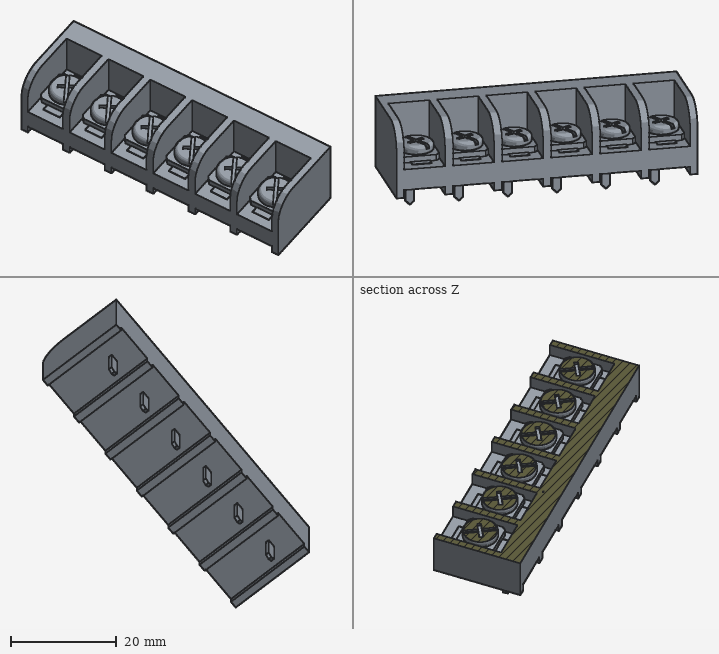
import cadquery as cq

LENGTH = 58.5
DEPTH = 17.8
TOTAL_HEIGHT = 20.5
BLOCK_HEIGHT = 14.3
WALL_RADIUS = 5.0

BAY_COUNT = 6
BAY_WIDTH = 7.95
END_WALL = 1.45
PITCH = (LENGTH - 2 * END_WALL - BAY_WIDTH) / (BAY_COUNT - 1)
BACK_THICKNESS = 4.55
FLOOR_Z = 5.75
FOOT_HEIGHT = 1.6

PIN_WIDTH = 1.65
PIN_THICKNESS = 0.7
PIN_PROTRUSION = 0.05
PIN_Y = DEPTH - 5.15
PIN_TIP_HEIGHT = 0.75
PIN_BOTTOM_Z = BLOCK_HEIGHT - TOTAL_HEIGHT

STRIP_WIDTH = 3.75
STRIP_LENGTH = 10.65
STRIP_FRONT_Y = 2.1
STRIP_THICKNESS = 0.1

CLAMP_WIDTH = 7.65
CLAMP_LENGTH = 7.6
CLAMP_THICKNESS = 1.15
CLAMP_CHAMFER = 0.7
CLAMP_TOP_Z = FLOOR_Z + CLAMP_THICKNESS

SCREW_Y = DEPTH - 10.5
HEAD_DIAMETER = 6.85
HEAD_HEIGHT = 1.75
TOP_ROUNDING = 0.8
BOTTOM_ROUNDING = 0.4
SLOT_WIDTH = 0.7
SLOT_DEPTH = 0.75
CROSS_SLOT_LENGTH = 3.5
SLOT_ANGLE = 120

BAY_CENTRES = [END_WALL + BAY_WIDTH / 2 + i * PITCH for i in range(BAY_COUNT)]


def make_housing():
    """Block with rounded partition walls, open bays above and standoff channels below."""
    housing = cq.Workplane("XY").box(LENGTH, DEPTH, BLOCK_HEIGHT, centered=False)
    housing = housing.edges("<Y and >Z").fillet(WALL_RADIUS)
    bay_depth = DEPTH - BACK_THICKNESS
    bay_height = BLOCK_HEIGHT - FLOOR_Z
    bay = cq.Workplane("XY").box(BAY_WIDTH, bay_depth, bay_height, centered=(True, False, False))
    channel = cq.Workplane("XY").box(BAY_WIDTH, DEPTH, FOOT_HEIGHT, centered=(True, False, False))
    for x in BAY_CENTRES:
        housing = housing.cut(bay.translate((x, 0, FLOOR_Z)))
        housing = housing.cut(channel.translate((x, 0, 0)))
    return housing


def make_pin():
    """Flat pin with a pointed tip, rising through the floor to just below the strip's top."""
    half_width = PIN_WIDTH / 2
    top_z = FLOOR_Z + PIN_PROTRUSION
    shoulder_z = PIN_BOTTOM_Z + PIN_TIP_HEIGHT
    outline = [
        (-half_width, top_z),
        (-half_width, shoulder_z),
        (0, PIN_BOTTOM_Z),
        (half_width, shoulder_z),
        (half_width, top_z),
    ]
    pin = cq.Workplane("XZ").polyline(outline).close().extrude(PIN_THICKNESS / 2, both=True)
    return pin.translate((0, PIN_Y, 0))


def make_strip():
    """Thin conductor strip on the bay floor."""
    strip = cq.Workplane("XY").box(STRIP_WIDTH, STRIP_LENGTH, STRIP_THICKNESS, centered=(True, False, False))
    return strip.translate((0, STRIP_FRONT_Y, FLOOR_Z))


def make_clamp():
    """Rectangular clamp plate with chamfered corners."""
    clamp = cq.Workplane("XY").box(CLAMP_WIDTH, CLAMP_LENGTH, CLAMP_THICKNESS, centered=(True, True, False))
    return clamp.edges("|Z").chamfer(CLAMP_CHAMFER).translate((0, SCREW_Y, FLOOR_Z))


def make_screw_head():
    """Rounded screw head with a full-width slot crossed by a short one."""
    head = cq.Workplane("XY").circle(HEAD_DIAMETER / 2).extrude(HEAD_HEIGHT)
    head = head.faces(">Z").edges().fillet(TOP_ROUNDING)
    head = head.faces("<Z").edges().fillet(BOTTOM_ROUNDING)
    slot_floor = cq.Workplane("XY", origin=(0, 0, HEAD_HEIGHT - SLOT_DEPTH))
    long_slot = slot_floor.rect(HEAD_DIAMETER, SLOT_WIDTH).extrude(SLOT_DEPTH)
    cross_slot = slot_floor.rect(SLOT_WIDTH, CROSS_SLOT_LENGTH).extrude(SLOT_DEPTH)
    slots = long_slot.union(cross_slot).rotate((0, 0, 0), (0, 0, 1), SLOT_ANGLE)
    return head.cut(slots).translate((0, SCREW_Y, CLAMP_TOP_Z))


terminal = make_strip().union(make_pin()).union(make_clamp()).union(make_screw_head())

result = make_housing()
for x in BAY_CENTRES:
    result = result.union(terminal.translate((x, 0, 0)))